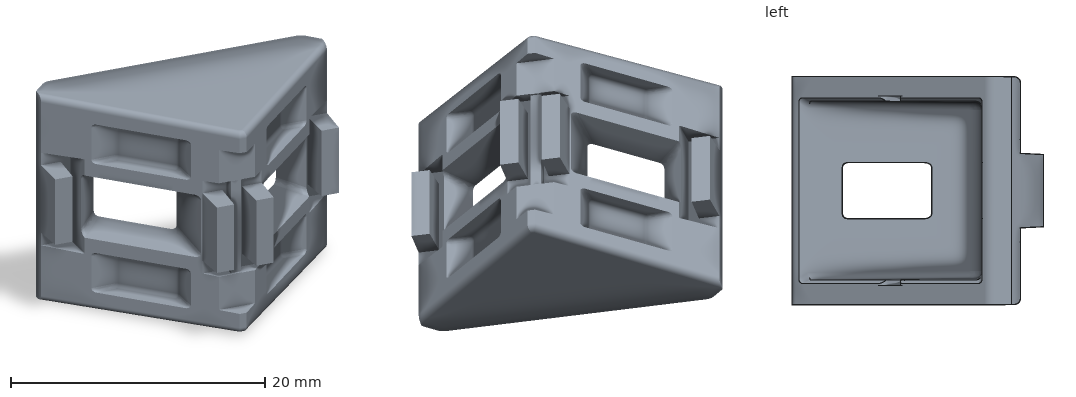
import cadquery as cq
import math

overall = 19.8
leg = 18.0
height = 18.0
tip_flat = 2.5
tip_round = 0.99
tip_chamfer = 0.71
heel_chamfer = 0.44
rim_fillet = 0.51
body_draft = 1.0
tab_draft = 2.0

wall = 3.03
cavity_height = 14.1
cavity_heel_fillet = 0.99
cavity_cheek_fillet = 0.55
cavity_mouth_height = 14.61
cavity_mouth_depth = 0.34

groove_width = 1.62
groove_round = 0.5
groove_depth = 2.38
groove_height = 14.93

window_far = 14.04
window_near_inside = 7.0
window_near_outside = 3.7
window_height_inside = 4.4
window_height_outside = 5.43
window_fillet = 0.44

pocket_depth = 1.56
pocket_far_outside = 13.0
pocket_near_outside = 4.57
pocket_far_floor = 11.46
pocket_near_floor = 6.28
pocket_height_outside = 3.45
pocket_height_floor = 3.39
pocket_offset = 5.6
pocket_fillet = 0.32

tab_tip_thickness = 1.48
tab_tip_height = 5.7
tip_tab_start = leg - tip_chamfer
heel_tab_start = 3.56
relief_height = 8.08
tip_relief_width = 2.51
heel_relief_width = 2.05

heel_notch = 2.18
heel_notch_height = 13.94
heel_step = 2.45

root_two = math.sqrt(2)
tab_slope = math.tan(math.radians(tab_draft))
tab_length = (overall - leg) * root_two / (1 - tab_slope)
tab_root_thickness = tab_tip_thickness + 2 * tab_length * tab_slope
tab_root_height = tab_tip_height + 2 * tab_length * tab_slope
slant_offset = leg + tip_flat
slant_depth = slant_offset / root_two
slant_middle = (-slant_offset / 2, slant_offset / 2, 0)

TOWARD_HEEL = (1, -1, 0)
ALONG_SLANT = (1, 1, 0)


def mirrored(shape):
    """Copy a feature of the -Y leg onto the +X leg."""
    return shape.mirror(cq.Vector(*ALONG_SLANT))


def both_legs(shape):
    """Join a -Y leg feature with its mirror copy."""
    return shape.union(mirrored(shape))


def drafted_prism(points, cheek_line):
    """Upright prism whose two cheeks follow a line of (depth below slanted face, half height)."""
    other_cheek = [(depth, -half) for depth, half in reversed(cheek_line)]
    envelope = (
        cq.Workplane(cq.Plane(slant_middle, TOWARD_HEEL, ALONG_SLANT))
        .polyline(cheek_line + other_cheek)
        .close()
        .extrude(slant_offset, both=True)
    )
    prism = cq.Workplane("XY").polyline(points).close().extrude(height, both=True)
    return prism.intersect(envelope)


def drafted_half(start_height, depth):
    """Half height after closing in at the body draft over a depth."""
    return start_height / 2 - depth * math.tan(math.radians(body_draft))


def heelward_block(start, thickness, block_height, taper):
    """Tapered block rising heelwards from a 45 degree floor that starts on the -Y face."""
    reach = thickness / root_two / 2
    centre = (reach - start, reach, 0)
    return (
        cq.Workplane(cq.Plane(centre, ALONG_SLANT, TOWARD_HEEL))
        .rect(thickness, block_height)
        .extrude(tab_length, taper=taper)
    )


def upright_edge_at(x, y):
    """Select the upright edge at (x, y)."""
    return cq.selectors.NearestToPointSelector((x, y, 0))


def make_body():
    """Drafted triangular block with rounded rims and chamfered leg ends."""
    body = drafted_prism(
        [(-leg, 0), (-heel_chamfer, 0), (0, heel_chamfer), (0, leg), (-tip_flat, leg), (-leg, tip_flat)],
        [(0, height / 2), (slant_depth, drafted_half(height, slant_depth))],
    )
    for x, y in ((-leg, tip_flat), (-tip_flat, leg)):
        body = body.edges(upright_edge_at(x, y)).fillet(tip_round)
    body = body.faces("<Y or >X or >(1,-1,0)").edges("not |Z").fillet(rim_fillet)
    chamfer = (
        cq.Workplane("XY")
        .polyline([(-leg, 0), (-leg, tip_chamfer), (tip_chamfer - leg, 0)])
        .close()
        .extrude(height, both=True)
    )
    return body.cut(both_legs(chamfer))


def make_cavity():
    """Triangular hollow, flared at the slanted face and rounded along its floors."""
    far = slant_offset - wall
    hollow = drafted_prism(
        [(-wall, wall), (-wall, far), (-far, wall)],
        [
            (0, cavity_mouth_height / 2),
            (cavity_mouth_depth, drafted_half(cavity_height, cavity_mouth_depth)),
            (slant_depth, drafted_half(cavity_height, slant_depth)),
        ],
    )
    hollow = hollow.edges(upright_edge_at(-wall, wall)).fillet(cavity_heel_fillet)
    return hollow.faces("<Y or >X").edges("not |Z").fillet(cavity_cheek_fillet)


def make_grooves():
    """Grooves with rounded entries, cut into both cheeks from the slanted face."""
    side = groove_width / 2
    edge = side + groove_round
    bulge = groove_round * (1 - 1 / root_two)
    return (
        cq.Workplane(cq.Plane(slant_middle, ALONG_SLANT, (0, 0, 1)))
        .moveTo(-edge, 0)
        .threePointArc((-side - bulge, -bulge), (-side, -groove_round))
        .lineTo(-side, -groove_depth)
        .lineTo(side, -groove_depth)
        .lineTo(side, -groove_round)
        .threePointArc((side + bulge, -bulge), (edge, 0))
        .close()
        .extrude(groove_height / 2, both=True)
    )


def leg_frustum(outside, floor, depth):
    """Tapered opening in the -Y leg, each end given as (far, near, height)."""
    def ring(y, far, near, ring_height):
        plane = cq.Plane((-(far + near) / 2, y, 0), (1, 0, 0), (0, 1, 0))
        return cq.Workplane(plane).rect(far - near, ring_height).wires().val()
    return cq.Workplane(cq.Solid.makeLoft([ring(0, *outside), ring(depth, *floor)], True))


def make_window():
    """Screw window through the -Y leg, sloping out on the heel side."""
    window = leg_frustum(
        (window_far, window_near_outside, window_height_outside),
        (window_far, window_near_inside, window_height_inside),
        wall,
    )
    return window.edges("not(#Y)").fillet(window_fillet)


def make_pockets():
    """Shallow pockets above and below the window in the -Y leg."""
    pocket = leg_frustum(
        (pocket_far_outside, pocket_near_outside, pocket_height_outside),
        (pocket_far_floor, pocket_near_floor, pocket_height_floor),
        pocket_depth,
    )
    pocket = pocket.edges("not <Y").fillet(pocket_fillet)
    return pocket.translate((0, 0, pocket_offset)).union(pocket.translate((0, 0, -pocket_offset)))


def make_tab(start):
    """Tapered tab whose tip stands out from the -Y face."""
    return heelward_block(start, tab_root_thickness, tab_root_height, tab_draft)


leg_cuts = [
    make_window(),
    make_pockets(),
    heelward_block(tip_tab_start, tip_relief_width, relief_height, -tab_draft),
    heelward_block(heel_tab_start, heel_relief_width, relief_height, -tab_draft),
]

result = make_body().cut(make_cavity()).cut(make_grooves())
for cut in leg_cuts:
    result = result.cut(cut).cut(mirrored(cut))
for notch, notch_height in ((heel_notch, heel_notch_height), (heel_step, relief_height)):
    result = result.cut(heelward_block(notch, notch * root_two, notch_height, -tab_draft))
for start in (tip_tab_start, heel_tab_start):
    tab = make_tab(start)
    result = result.union(tab).union(mirrored(tab))